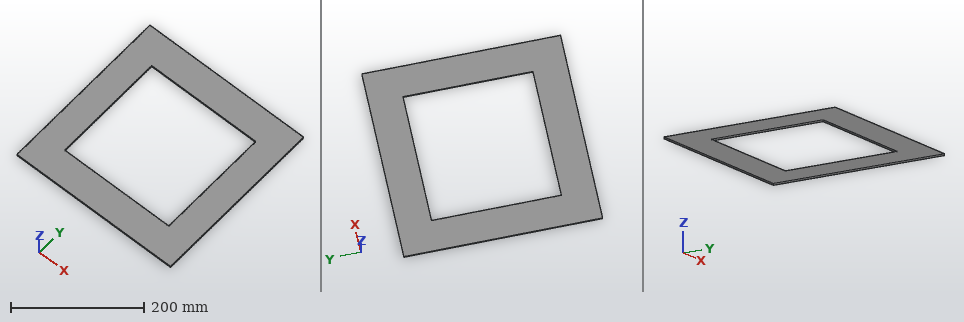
import cadquery as cq

plate_side = 304.8
plate_thickness = 3.0

window_length_x = 206.5
window_length_y = 199.0

plate = cq.Workplane("XY").box(plate_side, plate_side, plate_thickness)
window = cq.Workplane("XY").box(window_length_x, window_length_y, plate_thickness)

result = plate.cut(window)